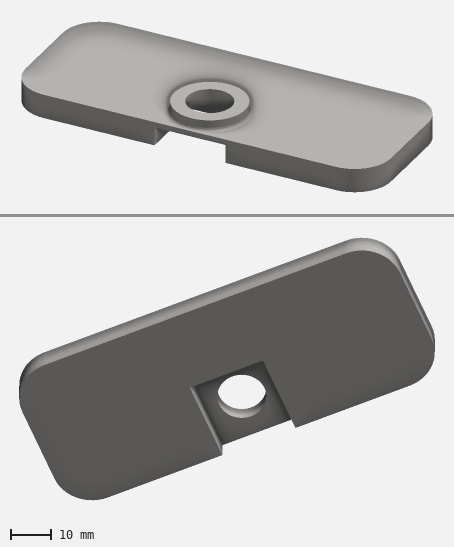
import cadquery as cq

plate_length = 100.0
plate_width = 40.0
plate_thickness = 6.5
corner_radius = 10.0

boss_diameter = 19.4
boss_height = 3.0
foot_fillet = 1.0
hole_diameter = 12.0
boss_y = -plate_width / 2 + boss_diameter / 2 + foot_fillet

pocket_width = boss_diameter
roof_thickness = 1.5
pocket_depth = plate_thickness - roof_thickness
pocket_back_y = boss_y + pocket_width / 2


def make_plate():
    plate = cq.Workplane("XY").box(
        plate_length, plate_width, plate_thickness, centered=(True, True, False)
    )
    return plate.edges("|Z").fillet(corner_radius)


def make_boss():
    """Revolve the boss and its concave foot fillet about the boss axis."""
    radius = boss_diameter / 2
    diagonal = foot_fillet * (1 - 0.5**0.5)
    profile = (
        cq.Workplane("XZ")
        .lineTo(radius + foot_fillet, 0)
        .threePointArc((radius + diagonal, diagonal), (radius, foot_fillet))
        .lineTo(radius, boss_height)
        .lineTo(0, boss_height)
        .close()
    )
    boss = profile.revolve(360, (0, 0, 0), (0, 1, 0))
    return boss.translate((0, boss_y, plate_thickness))


def make_pocket():
    length = pocket_back_y + plate_width / 2
    pocket = cq.Workplane("XY").box(
        pocket_width, length, pocket_depth, centered=(True, False, False)
    )
    return pocket.translate((0, -plate_width / 2, 0))


def make_hole():
    hole = cq.Workplane("XY").circle(hole_diameter / 2).extrude(plate_thickness + boss_height)
    return hole.translate((0, boss_y, 0))


result = make_plate().union(make_boss()).cut(make_pocket()).cut(make_hole())